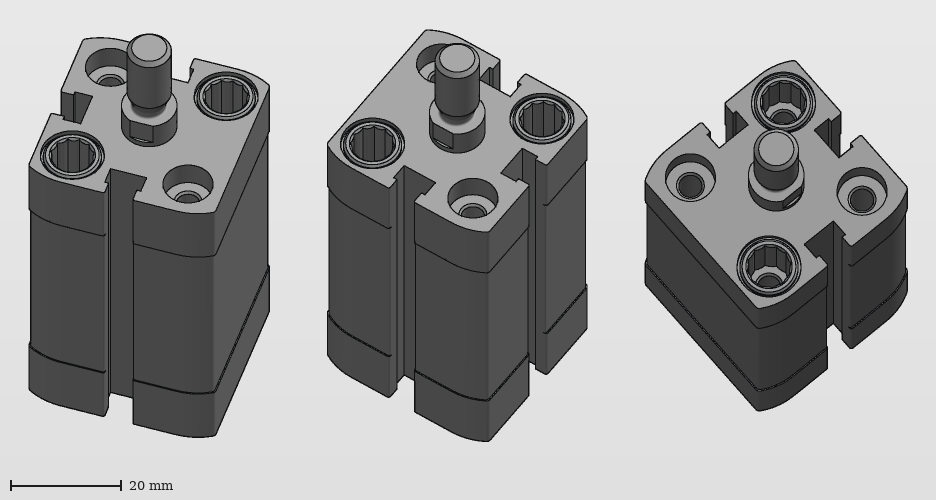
import cadquery as cq
import math

width = 35.5
total_height = 83.5
body_height = 61.95
cap_height = 12.0
barrel_inset = 0.25

hole_spacing = 22.0
hole_offset = hole_spacing / 2
corner_radius = 12.5
edge_radius = 0.8

mouth_half_width = 2.7
mouth_radius = 0.4
lip_depth = 2.5
slot_half_width = 3.4
slot_depth = 5.85
slot_sides = (0, 90, 180)

through_diameter = 4.2
countersink_diameter = 5.0
counterbore_diameter = 9.0
counterbore_depth = 4.85

recess_diameter = 11.5
recess_depth = 1.0
collar_base_diameter = 10.5
collar_top_diameter = 9.7
socket_crest_diameter = 7.5
socket_mouth_diameter = 8.35
socket_root_diameter = 8.0
socket_teeth = 12
crest_half_angle = 5.7
socket_depth = cap_height

shank_diameter = 10.0
shank_height = 5.6
flat_distance = 9.0
flat_height = 4.4
neck_diameter = 6.2
thread_diameter = 8.0
thread_length = 12.1
tip_chamfer = 0.8
neck_height = 1.3
neck_fillet = 0.4


def housing_outline(half_width):
    """Square with four large corner arcs, each tangent to the +Y or -Y side."""
    arc_radius = corner_radius - (width / 2 - half_width)
    arc_center_y = width / 2 - corner_radius
    tangent_angle = math.pi / 2
    end_angle = math.acos((half_width - hole_offset) / arc_radius)
    mid_angle = (tangent_angle + end_angle) / 2

    def arc_point(angle, side_x, side_y):
        x = hole_offset + arc_radius * math.cos(angle)
        y = arc_center_y + arc_radius * math.sin(angle)
        return side_x * x, side_y * y

    outline = cq.Workplane("XY").moveTo(0, half_width)
    for side_x, side_y in ((1, 1), (1, -1), (-1, -1), (-1, 1)):
        if side_x == side_y:
            start_angle, stop_angle = tangent_angle, end_angle
        else:
            start_angle, stop_angle = end_angle, tangent_angle
        outline = outline.lineTo(*arc_point(start_angle, side_x, side_y))
        outline = outline.threePointArc(
            arc_point(mid_angle, side_x, side_y),
            arc_point(stop_angle, side_x, side_y),
        )
    return outline.close()


def slot_cutter(half_width, height):
    """T-slot open to the +Y side, with a rounded mouth."""
    lip_y = width / 2 - lip_depth
    floor_y = width / 2 - slot_depth
    flare = mouth_half_width + mouth_radius
    bend = mouth_radius * (1 - math.sqrt(0.5))
    return (
        cq.Workplane("XY")
        .moveTo(-flare, half_width)
        .threePointArc(
            (-mouth_half_width - bend, half_width - bend),
            (-mouth_half_width, half_width - mouth_radius),
        )
        .lineTo(-mouth_half_width, lip_y)
        .lineTo(-slot_half_width, lip_y)
        .lineTo(-slot_half_width, floor_y)
        .lineTo(slot_half_width, floor_y)
        .lineTo(slot_half_width, lip_y)
        .lineTo(mouth_half_width, lip_y)
        .lineTo(mouth_half_width, half_width - mouth_radius)
        .threePointArc((mouth_half_width + bend, half_width - bend), (flare, half_width))
        .close()
        .extrude(height)
    )


def housing_section(half_width, base_z, height):
    """Slotted length of the housing: an end cap or the barrel."""
    section = housing_outline(half_width).extrude(height)
    section = section.faces("<X or >X").edges("|Z").fillet(edge_radius)
    for turn in slot_sides:
        slot = slot_cutter(half_width, height).rotate((0, 0, 0), (0, 0, 1), turn)
        section = section.cut(slot)
    return section.translate((0, 0, base_z))


def revolved(points):
    """Solid of revolution about Z from (radius, height) points."""
    return cq.Workplane("XZ").polyline(points).close().revolve(360, (0, 0), (0, 1))


def countersunk_hole(floor_z):
    """Through hole with a 45 degree countersink at the floor it starts from."""
    radius = through_diameter / 2
    sink_radius = countersink_diameter / 2
    return revolved([
        (0, 0),
        (radius, 0),
        (radius, floor_z - (sink_radius - radius)),
        (sink_radius, floor_z),
        (0, floor_z),
    ])


def counterbored_hole():
    """Through hole with a flat counterbore from the housing top."""
    floor_z = body_height - counterbore_depth
    bore = cq.Workplane("XY", origin=(0, 0, floor_z)).circle(counterbore_diameter / 2)
    bore = bore.extrude(counterbore_depth)
    return bore.union(countersunk_hole(floor_z))


def splined_socket():
    """Twelve-tooth socket: arc crests on the small diameter, V-shaped roots between them."""
    pitch = 2 * math.pi / socket_teeth
    crest_turn = math.radians(crest_half_angle)

    def polar(diameter, angle):
        return diameter / 2 * math.cos(angle), diameter / 2 * math.sin(angle)

    outline = cq.Workplane("XY", origin=(0, 0, body_height - socket_depth))
    outline = outline.moveTo(*polar(socket_root_diameter, 0))
    for tooth in range(socket_teeth):
        angle = (tooth + 0.5) * pitch
        outline = outline.lineTo(*polar(socket_crest_diameter, angle - crest_turn))
        outline = outline.threePointArc(
            polar(socket_crest_diameter, angle),
            polar(socket_crest_diameter, angle + crest_turn),
        )
        outline = outline.lineTo(*polar(socket_root_diameter, angle + pitch / 2))
    return outline.close().extrude(socket_depth)


def bearing_screw_hole():
    """Cutters for the ring groove around a bevelled collar, and for the socket inside the collar."""
    groove_z = body_height - recess_depth
    bevel_z = body_height - (collar_base_diameter - collar_top_diameter) / 2
    groove = revolved([
        (collar_top_diameter / 2, body_height),
        (collar_base_diameter / 2, bevel_z),
        (collar_base_diameter / 2, groove_z),
        (recess_diameter / 2, groove_z),
        (recess_diameter / 2, body_height),
    ])
    rim_radius = socket_mouth_diameter / 2
    mouth_bevel = revolved([
        (0, body_height - rim_radius),
        (rim_radius, body_height),
        (0, body_height),
    ])
    hole = splined_socket().union(mouth_bevel).union(countersunk_hole(body_height - socket_depth))
    return groove, hole


def make_housing():
    """Barrel between two slightly larger end caps, with two kinds of corner hole."""
    half_width = width / 2
    barrel_height = body_height - 2 * cap_height
    housing = housing_section(half_width, 0, cap_height)
    housing = housing.union(housing_section(half_width - barrel_inset, cap_height, barrel_height))
    housing = housing.union(housing_section(half_width, body_height - cap_height, cap_height)).clean()
    for place in (-hole_offset, hole_offset):
        housing = housing.cut(counterbored_hole().translate((place, -place, 0)))
        for cutter in bearing_screw_hole():
            housing = housing.cut(cutter.translate((place, place, 0)))
    return housing


def make_rod():
    """Rod standing on the housing top: shank with two flats, undercut neck and plain thread."""
    shank_top = body_height + shank_height
    thread_start = total_height - thread_length
    rod = revolved([
        (0, body_height),
        (shank_diameter / 2, body_height),
        (shank_diameter / 2, shank_top),
        (neck_diameter / 2, shank_top),
        (neck_diameter / 2, shank_top + neck_height),
        (thread_diameter / 2, thread_start),
        (thread_diameter / 2, total_height - tip_chamfer),
        (thread_diameter / 2 - tip_chamfer, total_height),
        (0, total_height),
    ])
    neck_edges = rod.edges(cq.selectors.RadiusNthSelector(0))
    rod = neck_edges.fillet(neck_fillet)
    for side in (-1, 1):
        flat = cq.Workplane("XY").box(
            shank_diameter, shank_diameter, flat_height, centered=(True, True, False),
        )
        flat_y = side * (flat_distance + shank_diameter) / 2
        rod = rod.cut(flat.translate((0, flat_y, shank_top - flat_height)))
    return rod


housing = make_housing()
piston_rod = make_rod()
result = cq.Compound.makeCompound([housing.val(), piston_rod.val()])